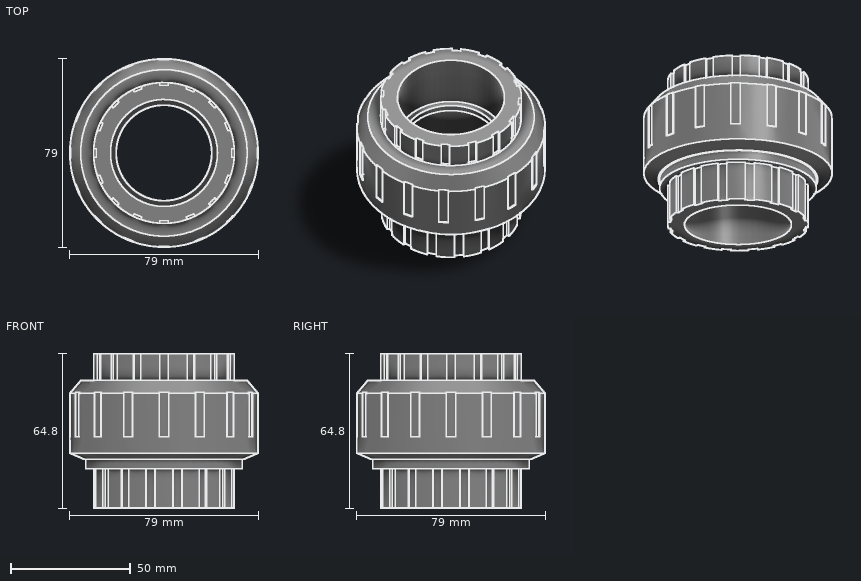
import cadquery as cq

total_height = 64.8
flange_bottom = 16.5
nut_bottom = 20.5
nut_edge_bottom = 23.1
nut_slot_bottom = 29.95
joint_level = 37.8
socket_floor = 40.7
nut_shoulder = 48.1
nut_top = 53.6

nut_diameter = 79.0
nut_top_diameter = 69.8
nut_bottom_diameter = 66.9
nut_lip_bore = 59.1
nut_main_bore = 62.7
collar_diameter = 62.6
flange_diameter = 65.7
pipe_end_diameter = 59.0
socket_diameter = 44.9
bore_diameter = 40.0

slot_count = 16
slot_pitch = 360.0 / slot_count
nut_slot_width = 3.95
nut_slot_depth = 0.4
upper_slot_width = 3.5
lower_slot_width = 3.9
pipe_end_slot_depth = 1.1
socket_depth = total_height - socket_floor


def cylinder(diameter, bottom, top):
    """Upright cylinder on the Z axis between two levels."""
    return cq.Workplane("XY").workplane(offset=bottom).circle(diameter / 2).extrude(top - bottom)


def cut_slots(body, outer_diameter, depth, width, bottom, top, start_angle=0.0):
    """Cut flat-floored axial slots around the outside of a round body."""
    floor_radius = outer_diameter / 2 - depth
    cutter = cq.Workplane("XY").box(
        2 * depth, width, top - bottom, centered=(False, True, False)
    ).translate((floor_radius, 0, bottom))
    for index in range(slot_count):
        angle = start_angle + index * slot_pitch
        body = body.cut(cutter.rotate((0, 0, 0), (0, 0, 1), angle))
    return body


def make_lower_end():
    """Lower pipe end: slotted socket, flange under the nut and a collar inside the nut."""
    body = cylinder(pipe_end_diameter, 0, flange_bottom)
    body = cut_slots(
        body, pipe_end_diameter, pipe_end_slot_depth, lower_slot_width,
        0, flange_bottom, start_angle=slot_pitch / 2,
    )
    body = body.union(cylinder(flange_diameter, flange_bottom, nut_bottom))
    body = body.union(cylinder(collar_diameter, nut_bottom, joint_level))
    body = body.cut(cylinder(bore_diameter, 0, joint_level))
    return body.cut(cylinder(socket_diameter, 0, socket_depth))


def make_upper_end():
    """Upper pipe end: slotted socket with a collar held under the lip of the nut."""
    body = cylinder(collar_diameter, joint_level, nut_shoulder)
    body = body.union(cylinder(pipe_end_diameter, nut_shoulder, total_height))
    body = cut_slots(
        body, pipe_end_diameter, pipe_end_slot_depth, upper_slot_width, nut_top, total_height
    )
    body = body.cut(cylinder(bore_diameter, joint_level, socket_floor))
    return body.cut(cylinder(socket_diameter, socket_floor, total_height))


def make_union_nut():
    """Union nut: sloped ends, a stepped bore and shallow grip slots."""
    half_section = [
        (nut_main_bore / 2, nut_bottom),
        (nut_bottom_diameter / 2, nut_bottom),
        (nut_diameter / 2, nut_edge_bottom),
        (nut_diameter / 2, nut_shoulder),
        (nut_top_diameter / 2, nut_top),
        (nut_lip_bore / 2, nut_top),
        (nut_lip_bore / 2, nut_shoulder),
        (nut_main_bore / 2, nut_shoulder),
    ]
    nut = cq.Workplane("XZ").polyline(half_section).close().revolve(360, (0, 0, 0), (0, 1, 0))
    return cut_slots(nut, nut_diameter, nut_slot_depth, nut_slot_width, nut_slot_bottom, nut_top)


lower_end = make_lower_end()
upper_end = make_upper_end()
union_nut = make_union_nut()

result = cq.Compound.makeCompound([lower_end.val(), upper_end.val(), union_nut.val()])